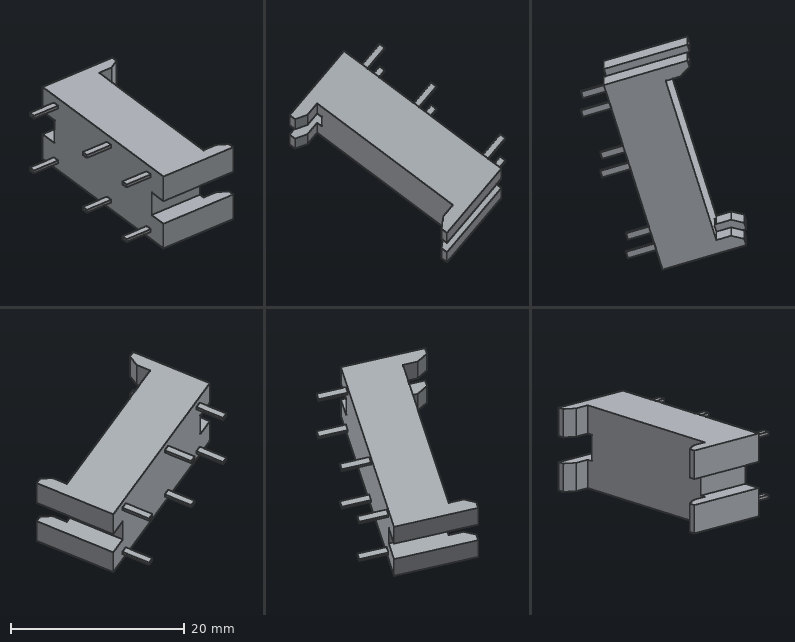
import cadquery as cq

LENGTH = 23.2
DEPTH = 13.6
HEIGHT = 10.0

PIN_LENGTH = 3.5
EAR_HEIGHT = 3.1
EAR_THICKNESS = 1.6
EAR_TIP_THICKNESS = 0.81
EAR_BEVEL_HEIGHT = 1.32
BLOCK_DEPTH = DEPTH - PIN_LENGTH - EAR_HEIGHT

SLOT_LENGTH = 2.27
SLOT_WIDTH = 3.13

PIN_WIDTH = 0.81
PIN_THICKNESS = 0.4
PIN_ROW_SPACING = 7.6
FIRST_PIN_X = -9.0
WIDE_PIN_PITCH = 10.15
NARROW_PIN_PITCH = PIN_ROW_SPACING

HALF_LENGTH = LENGTH / 2
BACK_Y = BLOCK_DEPTH + EAR_HEIGHT


def make_body():
    """Block and ears, extruded over the full height from one XY outline."""
    bevel_start_y = BACK_Y - EAR_BEVEL_HEIGHT
    ear_inner_x = HALF_LENGTH - EAR_THICKNESS
    ear_tip_x = HALF_LENGTH - EAR_TIP_THICKNESS
    right_half = [
        (HALF_LENGTH, 0),
        (HALF_LENGTH, BACK_Y),
        (ear_tip_x, BACK_Y),
        (ear_inner_x, bevel_start_y),
        (ear_inner_x, BLOCK_DEPTH),
    ]
    left_half = [(-x, y) for x, y in reversed(right_half)]
    outline = cq.Workplane("XY").polyline(right_half + left_half).close()
    return outline.extrude(HEIGHT / 2, both=True)


def make_end_slots():
    """Cutters for the notch at mid-height of each end."""
    return (
        cq.Workplane("XY")
        .pushPoints([(-HALF_LENGTH, BACK_Y / 2), (HALF_LENGTH, BACK_Y / 2)])
        .box(2 * SLOT_LENGTH, BACK_Y, SLOT_WIDTH)
    )


def make_pins():
    """Six pins standing out of the front face toward -Y."""
    second_pin_x = FIRST_PIN_X + WIDE_PIN_PITCH
    third_pin_x = second_pin_x + NARROW_PIN_PITCH
    centres = [
        (x, z)
        for x in (FIRST_PIN_X, second_pin_x, third_pin_x)
        for z in (-PIN_ROW_SPACING / 2, PIN_ROW_SPACING / 2)
    ]
    return (
        cq.Workplane("XZ")
        .pushPoints(centres)
        .rect(PIN_WIDTH, PIN_THICKNESS)
        .extrude(PIN_LENGTH)
    )


result = make_body().cut(make_end_slots()).union(make_pins())